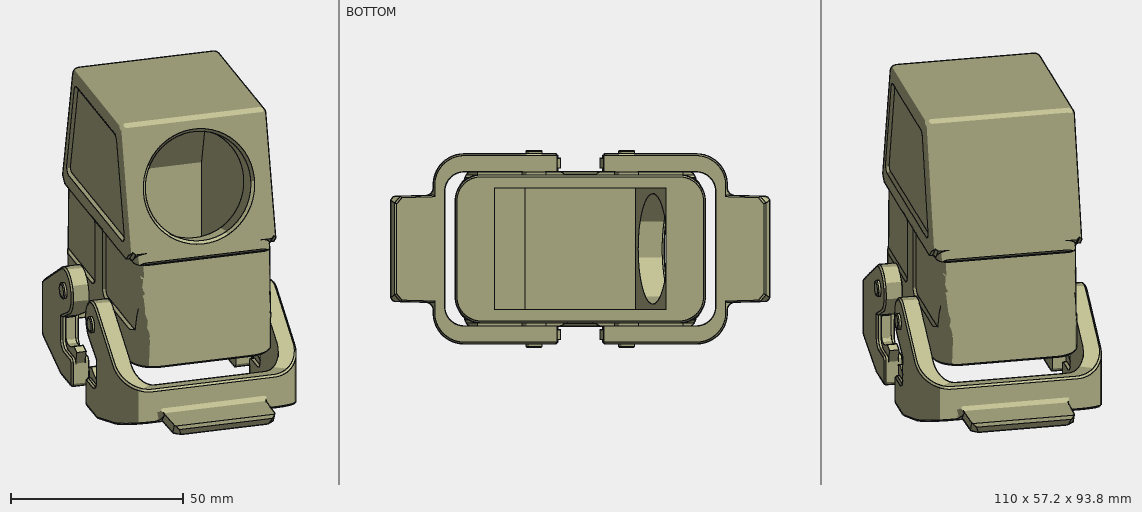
import cadquery as cq
import math

MATCH_DISTANCE = 0.01

HOOD_HEIGHT = 72.0
TOP_HALF_WIDTH = 23.4
LIP_HALF_WIDTH = 34.4
BASE_HALF_WIDTH = 36.3
BASE_TOP_Z = 9.0
LIP_Z = 31.9
UPPER_HALF_DEPTH = 22.4
SKIRT_HALF_DEPTH = 21.5
SKIRT_CORNER_RADIUS = 7.5
SKIRT_LIP_RADIUS = 3.1
LIP_CHAMFER = 0.8
UPPER_EDGE_RADIUS = 2.1
BASE_CHAMFER = 0.5
UPPER_SLOPE = (LIP_HALF_WIDTH - TOP_HALF_WIDTH) / (HOOD_HEIGHT - LIP_Z)
UPPER_LEAN = math.degrees(math.atan(UPPER_SLOPE))

CAVITY_HALF_WIDTH = 24.9
CAVITY_HALF_DEPTH = 17.6
CAVITY_SHOULDER_Z = 36.3
ROOF_THICKNESS = 3.3
ENTRY_DIAMETER = 32.0
ENTRY_CHAMFER = 0.9
ENTRY_CENTER_Z = 52.4
ENTRY_DEPTH = 15.4

LABEL_DEPTH = 0.9
PANEL_WALL_ANGLE = 45.0
PANEL_CORNER_RADIUS = 2.2
LABEL_BOTTOM_Z = 36.7
LABEL_TOP_Z = 67.5
LABEL_SIDE_MARGIN = 4.5
SIDE_PANEL_INNER_X = 4.4
SIDE_PANEL_BOTTOM_Z = 11.3
SIDE_PANEL_TOP_Z = 31.9
SIDE_PANEL_BEND_X = 30.1
SIDE_PANEL_HALF_DEPTH = 20.7
CORE_LIP_RADIUS = 3.3
CORE_BASE_RADIUS = 4.8
SIDE_PANEL_REACH = 8.8

PIVOT_X = 13.4
PIVOT_Z = 6.3
STUD_DIAMETER = 4.7
STUD_HALF_SPAN = 28.6
STUD_CHAMFER = 0.3
SHOULDER_DIAMETER = 6.9

LEVER_END_X = 42.7
ARM_OUTER_Y = 27.6
ARM_INNER_Y = 22.3
BAR_THICKNESS = 3.4
BEND_OUTER_RADIUS = 9.0
BEND_INNER_RADIUS = 5.6
BEND_SECTIONS = 7
HUB_RADIUS = 6.9
BAR_TOP_Z = -3.7
BAR_BOTTOM_Z = -14.3
LEVER_BOTTOM_Z = HOOD_HEIGHT - 93.8
HEEL_X = 17.3
JAW_TIP_X = 6.7
JAW_TOP_Z = -12.9
JAW_CORNER_RADIUS = 1.3
THROAT_X = 16.9
THROAT_TOP_Z = -3.5
THROAT_RADIUS = 3.0
LEVER_EDGE_CHAMFER = 0.5

LATCH_OUTER_Y = 26.3
LATCH_INNER_Y = 23.4
LATCH_BACK_X = 16.2
LATCH_TIP_X = 5.7
LATCH_ROOT_X = 14.3
LATCH_ROOT_Z = -11.2
LATCH_CREST_X = 9.4
LATCH_CREST_Z = -9.9

GRIP_END_X = 55.0
GRIP_HALF_WIDTH = 15.6
GRIP_TOP_Z = -10.9
GRIP_BOTTOM_Z = BAR_BOTTOM_Z
GRIP_NOSE_DROP = 1.3
GRIP_NOSE_BEVEL = 1.0
GRIP_BOTTOM_CHAMFER = 0.4
GRIP_ROOT_RADIUS = 2.1


def upper_profile(half_depth):
    """Trapezoid of the hood above the lip, extruded evenly to both sides of Y = 0."""
    corners = [
        (-LIP_HALF_WIDTH, LIP_Z),
        (LIP_HALF_WIDTH, LIP_Z),
        (TOP_HALF_WIDTH, HOOD_HEIGHT),
        (-TOP_HALF_WIDTH, HOOD_HEIGHT),
    ]
    return cq.Workplane("XZ").polyline(corners).close().extrude(half_depth, both=True)


def rounded_outline(corners, radius, rounded_count):
    """Closed wire through the corners; the first rounded_count of them are rounded."""
    wire = cq.Wire.makePolygon([cq.Vector(*corner) for corner in corners], close=True)
    ends = [cq.Vector(*corner) for corner in corners[:rounded_count]]
    rounded = [v for v in wire.Vertices() if any((v.Center() - end).Length < MATCH_DISTANCE for end in ends)]
    return wire.fillet2D(radius, rounded)


def rounded_rectangle(half_width, half_depth, radius, z):
    signs = [(-1, -1), (1, -1), (1, 1), (-1, 1)]
    corners = [(half_width * side_x, half_depth * side_y, z) for side_x, side_y in signs]
    return rounded_outline(corners, radius, len(corners))


def tapered_skirt(half_depth, base_radius, lip_radius):
    """Upright base with rounded corners, and above it the part that leans in to the lip."""
    base = rounded_rectangle(BASE_HALF_WIDTH, half_depth, base_radius, 0)
    bend = rounded_rectangle(BASE_HALF_WIDTH, half_depth, base_radius, BASE_TOP_Z)
    lip = rounded_rectangle(LIP_HALF_WIDTH, half_depth, lip_radius, LIP_Z)
    upright = cq.Workplane(cq.Solid.makeLoft([base, bend], True))
    return upright.union(cq.Workplane(cq.Solid.makeLoft([bend, lip], True)))


def upper_part():
    upper = upper_profile(UPPER_HALF_DEPTH)
    upper = upper.edges("not(<Z)").fillet(UPPER_EDGE_RADIUS)
    return upper.faces("<Z").edges("|X").chamfer(LIP_CHAMFER)


def skirt():
    block = tapered_skirt(SKIRT_HALF_DEPTH, SKIRT_CORNER_RADIUS, SKIRT_LIP_RADIUS)
    return block.faces("<Z").chamfer(BASE_CHAMFER)


def cavity():
    roof_z = HOOD_HEIGHT - ROOF_THICKNESS
    roof_half_width = CAVITY_HALF_WIDTH - UPPER_SLOPE * (roof_z - CAVITY_SHOULDER_Z)
    right_side = [
        (CAVITY_HALF_WIDTH, 0),
        (CAVITY_HALF_WIDTH, CAVITY_SHOULDER_Z),
        (roof_half_width, roof_z),
    ]
    left_side = [(-x, z) for x, z in reversed(right_side)]
    outline = cq.Workplane("XZ").polyline(right_side + left_side).close()
    return outline.extrude(CAVITY_HALF_DEPTH, both=True)


def cable_entry():
    """Round hole square to the +X slope, with a chamfered rim."""
    center_x = TOP_HALF_WIDTH + UPPER_SLOPE * (HOOD_HEIGHT - ENTRY_CENTER_Z)
    lean = math.radians(UPPER_LEAN)
    inward = cq.Vector(-math.cos(lean), 0, -math.sin(lean))
    mouth = cq.Vector(center_x, 0, ENTRY_CENTER_Z)
    radius = ENTRY_DIAMETER / 2
    bore = cq.Solid.makeCylinder(radius, ENTRY_DEPTH, mouth, inward)
    rim = cq.Solid.makeCone(radius + ENTRY_CHAMFER, radius, ENTRY_CHAMFER, mouth, inward)
    return bore.fuse(rim)


def label_panel():
    """Shallow trapezoid recess on the -Y face, narrowing towards its floor."""
    def half_width(z):
        return TOP_HALF_WIDTH + UPPER_SLOPE * (HOOD_HEIGHT - z) - LABEL_SIDE_MARGIN

    top = half_width(LABEL_TOP_Z)
    bottom = half_width(LABEL_BOTTOM_Z)
    face_y = -UPPER_HALF_DEPTH
    corners = [
        (-bottom, face_y, LABEL_BOTTOM_Z),
        (bottom, face_y, LABEL_BOTTOM_Z),
        (top, face_y, LABEL_TOP_Z),
        (-top, face_y, LABEL_TOP_Z),
    ]
    rim = rounded_outline(corners, PANEL_CORNER_RADIUS, len(corners))
    opening = cq.Workplane("XZ", origin=(0, face_y, 0)).add(rim).toPending()
    return opening.extrude(-LABEL_DEPTH, taper=PANEL_WALL_ANGLE)


def side_panel():
    """Recess at the right of the -Y face; it runs round the hood's corner and out at the end."""
    outer_x = BASE_HALF_WIDTH + SIDE_PANEL_REACH
    outer_top_z = SIDE_PANEL_TOP_Z + outer_x - SIDE_PANEL_BEND_X
    wall_depth = SKIRT_HALF_DEPTH - SIDE_PANEL_HALF_DEPTH

    def prism(y, growth, depth, taper):
        """Panel outline at the given Y, widened by growth, extruded towards -Y."""
        inner_x = SIDE_PANEL_INNER_X - growth
        bend_x = SIDE_PANEL_BEND_X - growth * math.tan(math.radians(22.5))
        bottom_z = SIDE_PANEL_BOTTOM_Z - growth
        corners = [
            (inner_x, y, bottom_z),
            (inner_x, y, SIDE_PANEL_TOP_Z + growth),
            (bend_x, y, SIDE_PANEL_TOP_Z + growth),
            (outer_x, y, outer_top_z),
            (outer_x, y, bottom_z),
        ]
        outline = rounded_outline(corners, PANEL_CORNER_RADIUS + growth, 2)
        return cq.Workplane("XZ", origin=(0, y, 0)).add(outline).toPending().extrude(depth, taper=taper)

    corner_y = 2 * CORE_BASE_RADIUS - SIDE_PANEL_HALF_DEPTH
    round_the_corner = prism(corner_y, 0, corner_y + SIDE_PANEL_HALF_DEPTH, 0)
    sloped_walls = prism(-SIDE_PANEL_HALF_DEPTH, 0, wall_depth, -PANEL_WALL_ANGLE)
    below_lip = prism(-SKIRT_HALF_DEPTH, wall_depth, UPPER_HALF_DEPTH - SKIRT_HALF_DEPTH, 0)
    return round_the_corner.union(sloped_walls).union(below_lip)


def panel_core():
    """The hood's body at the depth of the side panel floors."""
    upper = upper_profile(SIDE_PANEL_HALF_DEPTH).edges("not(#Z or |Y)").fillet(CORE_LIP_RADIUS)
    return tapered_skirt(SIDE_PANEL_HALF_DEPTH, CORE_BASE_RADIUS, CORE_LIP_RADIUS).union(upper)


def stud(x):
    """Pivot across the full depth; the cavity is cut after it is added."""
    def bar(diameter, half_span):
        disc = cq.Workplane("XZ", origin=(x, 0, PIVOT_Z)).circle(diameter / 2)
        return disc.extrude(half_span, both=True)

    pin = bar(STUD_DIAMETER, STUD_HALF_SPAN).faces("<Y or >Y").chamfer(STUD_CHAMFER)
    return pin.union(bar(SHOULDER_DIAMETER, ARM_INNER_Y))


def make_hood():
    hood = upper_part().union(skirt())
    panels = side_panel()
    panels = panels.union(panels.mirror("YZ"))
    panels = panels.union(panels.mirror("XZ")).cut(panel_core())
    hood = hood.cut(panels)
    label = label_panel()
    hood = hood.cut(label).cut(label.mirror("XZ"))
    for x in (-PIVOT_X, PIVOT_X):
        hood = hood.union(stud(x))
    return hood.cut(cavity()).cut(cq.Workplane(cable_entry()))


def tangent_point(from_x, from_z, turn):
    """Where a line from the given point touches the hub; turn is +1 or -1 for the side."""
    run = -PIVOT_X - from_x
    rise = PIVOT_Z - from_z
    swing = turn * math.acos(HUB_RADIUS / math.hypot(run, rise))
    angle = math.atan2(-rise, -run) + swing
    return -PIVOT_X + HUB_RADIUS * math.cos(angle), PIVOT_Z + HUB_RADIUS * math.sin(angle)


BEND_X = -LEVER_END_X + BEND_OUTER_RADIUS
HUB_TOP = tangent_point(-LEVER_END_X, BAR_TOP_Z, -1)
HUB_BOTTOM = tangent_point(-THROAT_X, THROAT_TOP_Z, 1)
TOP_EDGE_SLOPE = (HUB_TOP[1] - BAR_TOP_Z) / (HUB_TOP[0] + LEVER_END_X)
BOTTOM_EDGE_SLOPE = (LEVER_BOTTOM_Z - BAR_BOTTOM_Z) / (LEVER_END_X - HEEL_X)


def lever_top_z(x):
    return BAR_TOP_Z + TOP_EDGE_SLOPE * (x + LEVER_END_X)


def lever_bottom_z(x):
    return BAR_BOTTOM_Z + BOTTOM_EDGE_SLOPE * (x + LEVER_END_X)


def lever_arm():
    """Flat arm on the -Y side: hub, throat and lower jaw."""
    arc_middle = 1 - math.sqrt(0.5)
    arm = (
        cq.Workplane("XZ", origin=(0, -ARM_INNER_Y, 0))
        .moveTo(BEND_X, lever_top_z(BEND_X))
        .lineTo(*HUB_TOP)
        .threePointArc((-PIVOT_X + HUB_RADIUS, PIVOT_Z), HUB_BOTTOM)
        .lineTo(-THROAT_X, THROAT_TOP_Z)
        .lineTo(-THROAT_X, JAW_TOP_Z + THROAT_RADIUS)
        .threePointArc(
            (-THROAT_X + arc_middle * THROAT_RADIUS, JAW_TOP_Z + arc_middle * THROAT_RADIUS),
            (-THROAT_X + THROAT_RADIUS, JAW_TOP_Z),
        )
        .lineTo(-JAW_TIP_X, JAW_TOP_Z)
        .lineTo(-JAW_TIP_X, LEVER_BOTTOM_Z)
        .lineTo(-HEEL_X, LEVER_BOTTOM_Z)
        .lineTo(BEND_X, lever_bottom_z(BEND_X))
        .close()
        .extrude(ARM_OUTER_Y - ARM_INNER_Y)
    )
    jaw_box = cq.selectors.BoxSelector(
        (-JAW_TIP_X - 1.1, -ARM_OUTER_Y - 1.1, LEVER_BOTTOM_Z - 1.1), (0, 0, JAW_TOP_Z + 1.1)
    )
    arm = arm.edges("|Y").edges(jaw_box).fillet(JAW_CORNER_RADIUS)
    throat_box = cq.selectors.BoxSelector(
        (-THROAT_X - 1.1, -ARM_OUTER_Y - 1.1, JAW_TOP_Z - 1.1), (-JAW_TIP_X - 1.1, 0, HUB_BOTTOM[1])
    )
    outer_edges = arm.faces("<Y").edges("not(|Z and <X)")
    rim = [edge for edge in outer_edges.vals() if edge not in outer_edges.edges(throat_box).vals()]
    return arm.newObject(rim).chamfer(LEVER_EDGE_CHAMFER)


def bend_section(angle):
    """Upright section across the -Y bend: 0 at the arm and a quarter turn at the cross bar.

    Its top and bottom are level, and both outer corners are bevelled.
    """
    across = cq.Vector(-math.sin(angle), -math.cos(angle), 0)
    outer_center = cq.Vector(BEND_X, -ARM_OUTER_Y + BEND_OUTER_RADIUS, 0)
    inner_center = cq.Vector(
        -LEVER_END_X + BAR_THICKNESS + BEND_INNER_RADIUS, -ARM_INNER_Y + BEND_INNER_RADIUS, 0
    )
    outer = outer_center + across * BEND_OUTER_RADIUS
    inner = inner_center + across * BEND_INNER_RADIUS
    shoulder = outer + (inner - outer).normalized() * LEVER_EDGE_CHAMFER
    top = lever_top_z(outer.x)
    bottom = lever_bottom_z(outer.x)
    heights = [
        (inner, bottom),
        (shoulder, bottom),
        (outer, bottom + LEVER_EDGE_CHAMFER * math.hypot(1, BOTTOM_EDGE_SLOPE)),
        (outer, top - LEVER_EDGE_CHAMFER * math.hypot(1, TOP_EDGE_SLOPE)),
        (shoulder, top),
        (inner, top),
    ]
    return cq.Wire.makePolygon([cq.Vector(at.x, at.y, z) for at, z in heights], close=True)


def lever_bend():
    """Quarter turn from the -Y arm to the cross bar."""
    steps = BEND_SECTIONS - 1
    return cq.Workplane(cq.Solid.makeLoft([bend_section(math.pi / 2 * i / steps) for i in range(steps + 1)]))


def cross_bar():
    near_end = bend_section(math.pi / 2)
    return cq.Workplane(cq.Solid.makeLoft([near_end, near_end.mirror("XZ")], True))


def latch_lip():
    """Thinner plate along the throat whose hooked tip stands above the -Y jaw."""
    return (
        cq.Workplane("XZ", origin=(0, -LATCH_INNER_Y, 0))
        .moveTo(-THROAT_X - 1.1, THROAT_TOP_Z - 1.1)
        .lineTo(-THROAT_X, THROAT_TOP_Z)
        .lineTo(-LATCH_BACK_X, THROAT_TOP_Z)
        .lineTo(-LATCH_BACK_X, -9.0)
        .spline(
            [(-LATCH_ROOT_X, LATCH_ROOT_Z), (-LATCH_CREST_X, LATCH_CREST_Z), (-LATCH_TIP_X, -10.3)],
            tangents=[(0, -1), (1, -0.3)],
            includeCurrent=True,
        )
        .lineTo(-JAW_TIP_X + 0.3, -12.5)
        .lineTo(-JAW_TIP_X, -14.3)
        .lineTo(-THROAT_X - 1.1, -14.3)
        .close()
        .extrude(LATCH_OUTER_Y - LATCH_INNER_Y)
    )


def finger_grip():
    def plan(z, end_x, nose_length, nose_half_width):
        side = [
            (-LEVER_END_X + BAR_THICKNESS / 2, -GRIP_HALF_WIDTH),
            (-end_x + nose_length, 0.3 - GRIP_HALF_WIDTH),
            (-end_x, -nose_half_width),
        ]
        points = side + [(x, -y) for x, y in reversed(side)]
        return cq.Wire.makePolygon([cq.Vector(x, y, z) for x, y in points], close=True)

    nose_lean = GRIP_NOSE_DROP / (GRIP_TOP_Z - GRIP_NOSE_BEVEL - GRIP_BOTTOM_Z)
    lower = plan(GRIP_BOTTOM_Z, GRIP_END_X - GRIP_NOSE_DROP, 1.8, 13.2)
    upper = plan(GRIP_TOP_Z, GRIP_END_X + GRIP_NOSE_BEVEL * nose_lean, 1.8, 14.5)
    grip = cq.Workplane(cq.Solid.makeLoft([lower, upper], True))
    grip = grip.faces(">Z").edges("<X").chamfer(GRIP_NOSE_BEVEL * math.hypot(1, nose_lean))
    return grip.faces("<Z").edges("not(>X)").chamfer(GRIP_BOTTOM_CHAMFER)


def grip_root_edges(lever):
    """Edges where the top and sides of the finger grip meet the cross bar."""
    margin = 0.1
    root_box = cq.selectors.BoxSelector(
        (-LEVER_END_X - margin, -GRIP_HALF_WIDTH, GRIP_BOTTOM_Z + LEVER_EDGE_CHAMFER),
        (-LEVER_END_X + margin, GRIP_HALF_WIDTH, GRIP_TOP_Z + margin),
    )
    return lever.edges(root_box)


def make_lever():
    """The -X lever; the +X one is its mirror image."""
    half = lever_arm().union(lever_bend()).union(latch_lip())
    lever = cross_bar().union(half).union(half.mirror("XZ")).union(finger_grip())
    lever = grip_root_edges(lever).fillet(GRIP_ROOT_RADIUS)
    hole = cq.Workplane("XZ", origin=(-PIVOT_X, 0, PIVOT_Z)).circle(STUD_DIAMETER / 2)
    return lever.cut(hole.extrude(STUD_HALF_SPAN, both=True))


hood = make_hood()
lever = make_lever()
levers = [lever, lever.mirror("YZ")]
result = cq.Compound.makeCompound([hood.val(), *[one.val() for one in levers]])